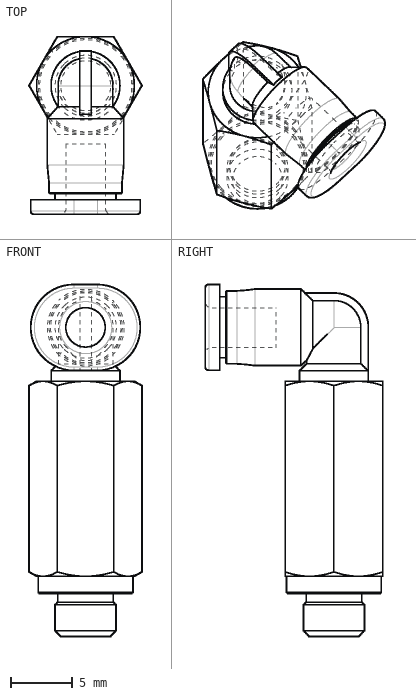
import cadquery as cq
import math


thread_radius = 2.5
thread_tip_radius = 2.05
thread_tip_chamfer = 0.5
thread_top = 2.6
relief_radius = 2.28
seat_bottom = 3.5
seat_radius = 3.9
seat_chamfer = 0.12

hex_flats = 8.0
hex_bottom = 4.92
hex_top = 20.88
hex_chamfer_angle = 30
hex_corner_radius = hex_flats / math.sqrt(3)
hex_chamfer_drop = (hex_corner_radius - hex_flats / 2) * math.tan(math.radians(hex_chamfer_angle))

pipe_radius = 2.25
collar_radius = 2.82
collar_top = 21.75
collar_cone_height = collar_radius - pipe_radius
rib_thickness = 0.98

flange_half_height = 3.5
flange_flat_width = 1.95
flange_back = 9.33
flange_front = 10.55
flange_rounding = 0.3
elbow_height = 28.8 - flange_half_height

socket_radius = 3.15
socket_cone_start = 1.73
socket_cone_end = 2.7
socket_taper_start = 6.48
socket_taper_end = 7.95
socket_end = 8.87
socket_mouth_radius = 3.0
socket_edge_chamfer = 0.12
ring_neck_radius = 2.5

hole_radius = 1.6
hole_lip_rounding = 0.52
hole_depth = 5.75


def turned_stem(outline):
    """Revolve (radius, height) points about the Z axis."""
    return cq.Workplane("XZ").polyline(outline).close().revolve(360, (0, 0), (0, 1))


def make_threaded_end():
    return turned_stem([
        (0, 0),
        (thread_tip_radius, 0),
        (thread_radius, thread_tip_chamfer),
        (thread_radius, thread_top),
        (relief_radius, thread_top + thread_radius - relief_radius),
        (relief_radius, seat_bottom),
        (seat_radius - seat_chamfer, seat_bottom),
        (seat_radius, seat_bottom + seat_chamfer),
        (seat_radius, hex_bottom),
        (0, hex_bottom),
    ])


def make_hex_body():
    prism = (
        cq.Workplane("XY", origin=(0, 0, hex_bottom))
        .polygon(6, 2 * hex_corner_radius)
        .extrude(hex_top - hex_bottom)
    )
    chamfer_envelope = turned_stem([
        (0, hex_bottom),
        (hex_flats / 2, hex_bottom),
        (hex_corner_radius, hex_bottom + hex_chamfer_drop),
        (hex_corner_radius, hex_top - hex_chamfer_drop),
        (hex_flats / 2, hex_top),
        (0, hex_top),
    ])
    return prism.intersect(chamfer_envelope)


def make_elbow_post():
    post = turned_stem([
        (0, hex_top),
        (collar_radius, hex_top),
        (collar_radius, collar_top),
        (pipe_radius, collar_top + collar_cone_height),
        (pipe_radius, elbow_height),
        (0, elbow_height),
    ])
    ball = cq.Workplane("XY", origin=(0, 0, elbow_height)).sphere(pipe_radius)
    return post.union(ball)


def make_socket():
    """Revolve the socket (radius, Y) outline about the horizontal axis."""
    outline = [
        (0, 0),
        (pipe_radius, 0),
        (pipe_radius, -socket_cone_start),
        (socket_radius, -socket_cone_end),
        (socket_radius, -socket_taper_start),
        (socket_mouth_radius, -socket_taper_end),
        (socket_mouth_radius, -socket_end + socket_edge_chamfer),
        (socket_mouth_radius - socket_edge_chamfer, -socket_end),
        (ring_neck_radius, -socket_end),
        (ring_neck_radius, -flange_back),
        (0, -flange_back),
    ]
    return (
        cq.Workplane("XY", origin=(0, 0, elbow_height))
        .polyline(outline)
        .close()
        .revolve(360, (0, 0), (0, 1))
    )


def make_rib():
    """Thin rib around the outside of the bend, flush with the collar."""
    arc_offset = collar_radius * math.sqrt(0.5)
    return (
        cq.Workplane("YZ")
        .moveTo(0, collar_top)
        .lineTo(collar_radius, collar_top)
        .lineTo(collar_radius, elbow_height)
        .threePointArc((arc_offset, elbow_height + arc_offset), (0, elbow_height + collar_radius))
        .lineTo(-socket_cone_end, elbow_height + collar_radius)
        .lineTo(-socket_cone_end, elbow_height)
        .lineTo(0, elbow_height)
        .close()
        .extrude(rib_thickness / 2, both=True)
    )


def make_flange():
    return (
        cq.Workplane("XZ", origin=(0, -flange_back, elbow_height))
        .slot2D(flange_flat_width + 2 * flange_half_height, 2 * flange_half_height)
        .extrude(flange_front - flange_back)
        .faces("<Y")
        .edges()
        .fillet(flange_rounding)
    )


def make_tube_hole():
    """Cutter for the blind hole and its rounded lip."""
    lip_radius = hole_radius + hole_lip_rounding
    lip_end = -flange_front + hole_lip_rounding
    arc_inset = hole_lip_rounding * math.sqrt(0.5)
    hole_bottom = -flange_front + hole_depth
    return (
        cq.Workplane("XY", origin=(0, 0, elbow_height))
        .moveTo(0, -flange_front)
        .lineTo(lip_radius, -flange_front)
        .threePointArc((lip_radius - arc_inset, lip_end - arc_inset), (hole_radius, lip_end))
        .lineTo(hole_radius, hole_bottom)
        .lineTo(0, hole_bottom)
        .close()
        .revolve(360, (0, 0), (0, 1))
    )


result = (
    make_threaded_end()
    .union(make_hex_body())
    .union(make_elbow_post())
    .union(make_socket())
    .union(make_rib())
    .union(make_flange())
    .cut(make_tube_hole())
)